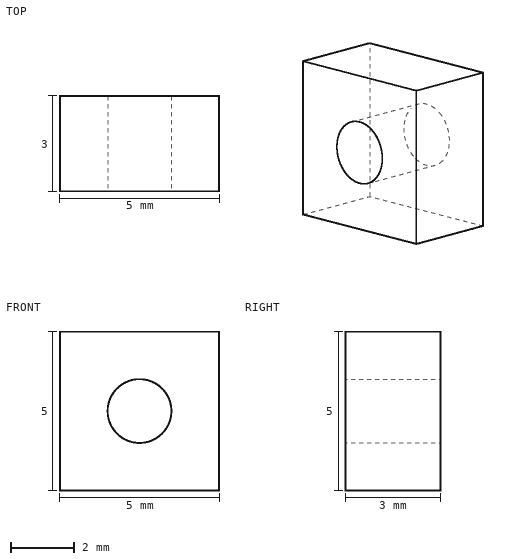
import cadquery as cq

side = 5.0
thickness = 3.0
hole_diameter = 2.0

block = cq.Workplane("XZ").rect(side, side).extrude(thickness / 2, both=True)

result = block.faces("<Y").workplane(centerOption="CenterOfBoundBox").hole(hole_diameter)